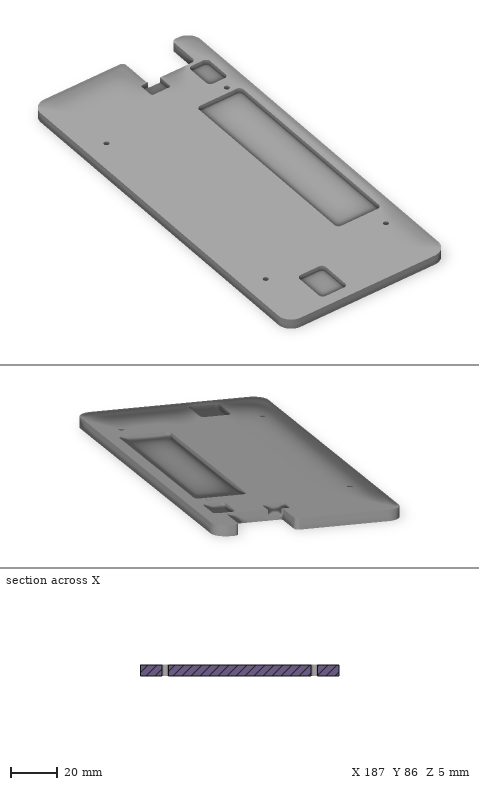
import cadquery as cq

length = 187.0
width = 86.0
thickness = 5.0
corner_radius = 7.0
left = -length / 2
right = length / 2
back = width / 2
front = -width / 2

notch_depth = 17.5
notch_back = back - 10.7
notch_front = back - 36.5
notch_radius = 2.0
notch_front_inner_radius = 1.5

pocket_depth = 2.8
pocket_radius = 2.0
edge_margin = 5.6
small_pocket_width = 10.3
large_pocket_length = 102.8
large_pocket_width = 23.7
large_pocket_left = left + 43.5
back_pocket_length = 15.3
back_pocket_left = left + 19.3
notch_pocket_radius = 1.0
notch_pocket_length = 8.2
notch_pocket_left = left + 17.2
notch_pocket_back = back - 29.7
right_pocket_length = 18.1
right_pocket_width = 14.0
right_pocket_back = front + 36.5

hole_diameter = 2.6
hole_edge_distance = 10.7
hole_left = left + 40.4
hole_right = right - 30.5


def make_plate():
    """Plate with rounded corners and a rounded notch in its left side."""
    plate = cq.Workplane("XY").box(length, width, thickness, centered=(True, True, False))
    plate = plate.edges("|Z").fillet(corner_radius)

    mouth = left + notch_radius
    inner = left + notch_depth
    notch = (
        cq.Workplane("XY")
        .moveTo(left, notch_back + notch_radius)
        .radiusArc((mouth, notch_back), -notch_radius)
        .lineTo(inner - notch_radius, notch_back)
        .radiusArc((inner, notch_back - notch_radius), notch_radius)
        .lineTo(inner, notch_front + notch_front_inner_radius)
        .radiusArc((inner - notch_front_inner_radius, notch_front), notch_front_inner_radius)
        .lineTo(mouth, notch_front)
        .radiusArc((left, notch_front - notch_radius), -notch_radius)
        .close()
        .extrude(thickness)
    )
    return plate.cut(notch)


def make_pocket(pocket_left, pocket_back, pocket_length, pocket_width, radius=pocket_radius):
    """Cutter for a rounded pocket, placed by its back left corner."""
    return (
        cq.Workplane("XY", origin=(pocket_left, pocket_back - pocket_width, thickness - pocket_depth))
        .box(pocket_length, pocket_width, pocket_depth, centered=False)
        .edges("|Z")
        .fillet(radius)
    )


pockets = [
    make_pocket(large_pocket_left, back - edge_margin, large_pocket_length, large_pocket_width),
    make_pocket(back_pocket_left, back - edge_margin, back_pocket_length, small_pocket_width),
    make_pocket(
        notch_pocket_left,
        notch_pocket_back,
        notch_pocket_length,
        small_pocket_width,
        notch_pocket_radius,
    ),
    make_pocket(
        right - edge_margin - right_pocket_length,
        right_pocket_back,
        right_pocket_length,
        right_pocket_width,
    ),
]

hole_y = back - hole_edge_distance
hole_centers = [(x, y) for x in (hole_left, hole_right) for y in (-hole_y, hole_y)]
holes = cq.Workplane("XY").pushPoints(hole_centers).circle(hole_diameter / 2).extrude(thickness)

result = make_plate().cut(holes)
for pocket in pockets:
    result = result.cut(pocket)